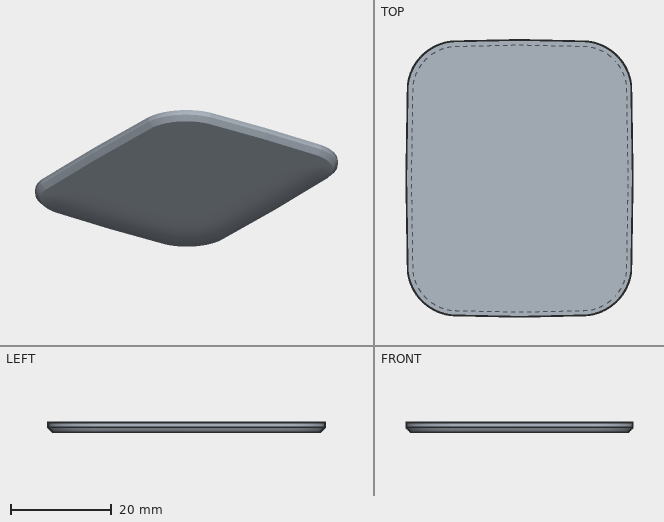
import cadquery as cq

length_x = 45.0
length_y = 55.0
thickness = 2.0
corner_setback = 9.0
side_drop = 0.3
corner_radius = 9.92
bottom_bevel = 1.0
bevel_angle = 45.0

middle_x = length_x / 2
middle_y = length_y / 2
arc_inner_x = middle_x - corner_setback
arc_inner_y = middle_y - corner_setback
arc_outer_x = middle_x - side_drop
arc_outer_y = middle_y - side_drop


def plate_outline():
    """Closed outline at the top of the bevel: a quarter with two half sides and a corner arc, mirrored."""
    quarter = (
        cq.Workplane("XY", origin=(0, 0, bottom_bevel))
        .moveTo(0, middle_y)
        .lineTo(arc_inner_x, arc_outer_y)
        .radiusArc((arc_outer_x, arc_inner_y), corner_radius)
        .lineTo(middle_x, 0)
    )
    return quarter.mirrorX().mirrorY()


def upper_layer():
    """Straight-walled layer above the bevel."""
    return plate_outline().extrude(thickness - bottom_bevel)


def bevelled_layer():
    """Lower layer, narrowing from the full outline down to the bottom face."""
    return plate_outline().extrude(-bottom_bevel, taper=bevel_angle)


result = upper_layer().union(bevelled_layer())